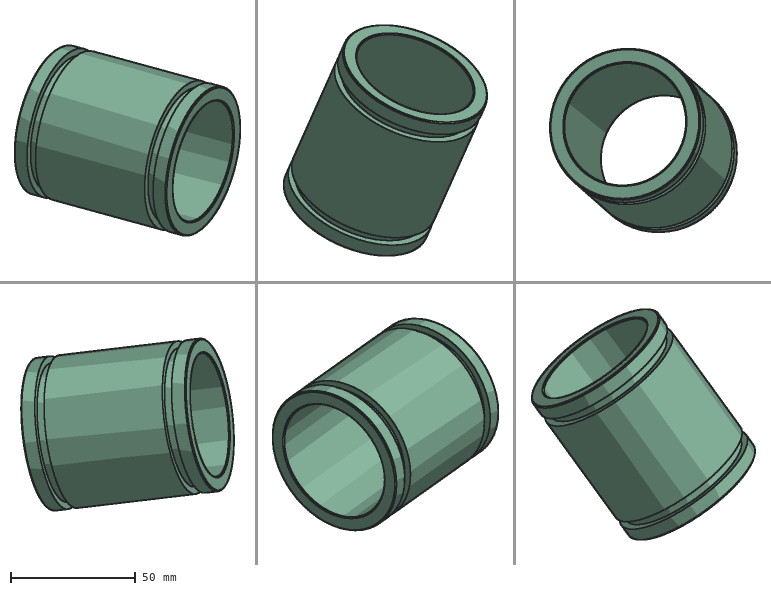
import cadquery as cq

length = 70.0
outer_diameter = 62.0
bore_diameter = 50.0
groove_diameter = 56.3
groove_width = 3.9
end_to_groove = 6.0
edge_chamfer = 0.5


def cylinder_along_x(diameter, start_x, cylinder_length):
    """Solid cylinder on the X axis, growing toward +X from start_x."""
    return (
        cq.Workplane("YZ", origin=(start_x, 0, 0))
        .circle(diameter / 2)
        .extrude(cylinder_length)
    )


def snap_ring_groove(start_x):
    """Ring of material removed from the outside of the bushing."""
    ring = cylinder_along_x(outer_diameter, start_x, groove_width)
    core = cylinder_along_x(groove_diameter, start_x, groove_width)
    return ring.cut(core)


left_end = -length / 2
sleeve = cylinder_along_x(outer_diameter, left_end, length)
sleeve = sleeve.cut(cylinder_along_x(bore_diameter, left_end, length))

sleeve = sleeve.faces("<X or >X").edges().chamfer(edge_chamfer)

left_groove_start = left_end + end_to_groove
right_groove_start = -left_groove_start - groove_width
for groove_start in (left_groove_start, right_groove_start):
    sleeve = sleeve.cut(snap_ring_groove(groove_start))

result = sleeve